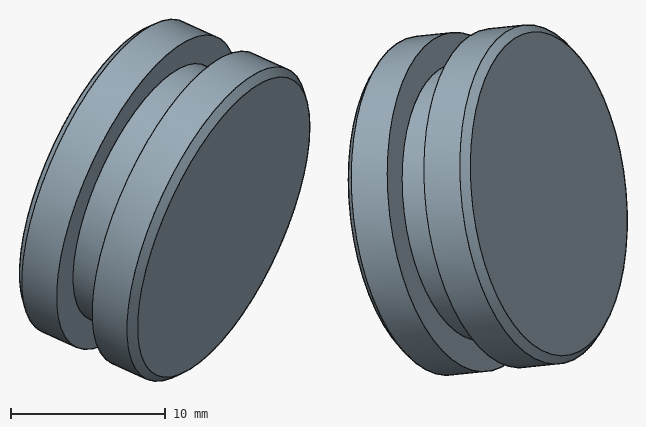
import cadquery as cq

disc_diameter = 22.0
disc_width = 9.0
rim_chamfer = 0.5
groove_diameter = 18.0
groove_width = 2.7


def make_disc():
    """Solid round disc, centred on the origin, with both rims chamfered."""
    start_plane = cq.Workplane("YZ").workplane(offset=-disc_width / 2)
    disc = start_plane.circle(disc_diameter / 2).extrude(disc_width)
    return disc.faces("<X or >X").chamfer(rim_chamfer)


def make_groove():
    """Ring that cuts the square-sided groove around the middle of the disc."""
    start_plane = cq.Workplane("YZ").workplane(offset=-groove_width / 2)
    ring = start_plane.circle(disc_diameter / 2).circle(groove_diameter / 2)
    return ring.extrude(groove_width)


result = make_disc().cut(make_groove())